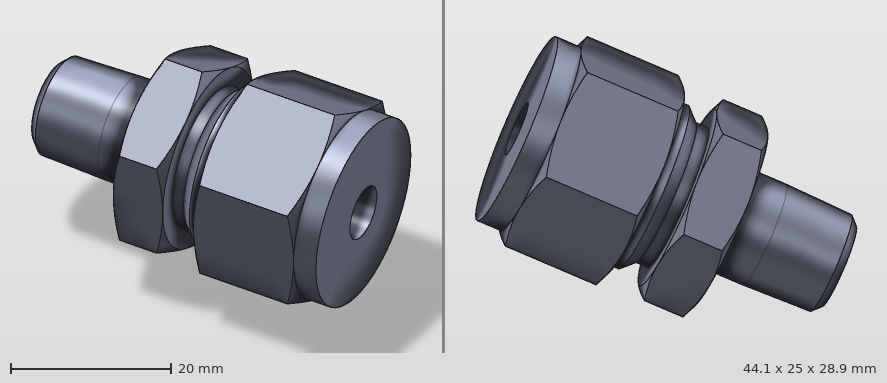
import cadquery as cq
import math

tip_chamfer_end = 1.1
taper_end = 10.15
body_hex_start = 15.1
body_hex_end = 22.1
neck_end = 23.73
collar_cone_end = 25.4
nut_hex_start = 26.72
nut_hex_end = 40.92
total_length = 44.1

bore_diameter = 7.1
tip_diameter = 11.0
shank_diameter = 13.7
taper_ratio = 1 / 16
taper_start_diameter = shank_diameter - taper_ratio * (taper_end - tip_chamfer_end)
neck_diameter = 19.0
collar_diameter = 22.23

body_hex_flats = 24.0
nut_hex_flats = 25.0
corner_chamfer_length = 0.9
nut_end_diameter = nut_hex_flats


def revolve_profile(stations):
    """Solid of revolution about X from (axial position, diameter) pairs."""
    outline = [(x, diameter / 2) for x, diameter in stations]
    first_x = stations[0][0]
    last_x = stations[-1][0]
    return (
        cq.Workplane("XY")
        .polyline([(first_x, 0), *outline, (last_x, 0)])
        .close()
        .revolve(360, (0, 0, 0), (1, 0, 0))
    )


def chamfered_hex(start, end, flats):
    """Hexagonal prism along X, corners up and down, with conical chamfers on both ends."""
    corners = flats / math.cos(math.pi / 6)
    prism = (
        cq.Workplane("YZ", origin=(start, 0, 0))
        .transformed(rotate=(0, 0, 90))
        .polygon(6, corners)
        .extrude(end - start)
    )
    envelope = revolve_profile([
        (start, flats),
        (start + corner_chamfer_length, corners),
        (end - corner_chamfer_length, corners),
        (end, flats),
    ])
    return prism.intersect(envelope)


turned_body = revolve_profile([
    (0, tip_diameter),
    (tip_chamfer_end, taper_start_diameter),
    (taper_end, shank_diameter),
    (body_hex_start, shank_diameter),
    (body_hex_start, neck_diameter),
    (neck_end, neck_diameter),
    (collar_cone_end, collar_diameter),
    (nut_hex_start, collar_diameter),
])

body_hex = chamfered_hex(body_hex_start, body_hex_end, body_hex_flats)
nut_hex = chamfered_hex(nut_hex_start, nut_hex_end, nut_hex_flats)
nut_end = revolve_profile([(nut_hex_end, nut_end_diameter), (total_length, nut_end_diameter)])

bore = revolve_profile([(0, bore_diameter), (total_length, bore_diameter)])

result = turned_body.union(body_hex).union(nut_hex).union(nut_end).cut(bore)